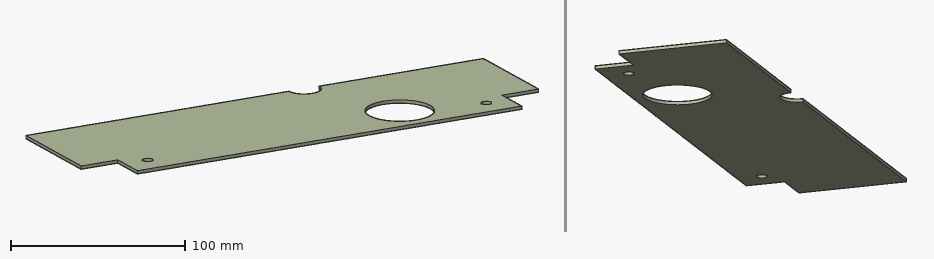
import cadquery as cq

length = 300.0
width = 89.0
thickness = 2.0

corner_notch_width = 23.5
corner_notch_length = 24.0

mount_hole_diameter = 6.3
mount_hole_x = 74.0
mount_hole_spacing = 222.0

opening_diameter = 40.0
opening_x = 62.7
opening_y = 210.5

edge_notch_radius = 10.0
edge_notch_y = 182.5


def make_plate():
    """Flat plate stepped in at both right-hand corners."""
    step_x = width - corner_notch_width
    upper_step_y = length - corner_notch_length
    return (
        cq.Workplane("XY")
        .moveTo(0, 0)
        .lineTo(step_x, 0)
        .lineTo(step_x, corner_notch_length)
        .lineTo(width, corner_notch_length)
        .lineTo(width, upper_step_y)
        .lineTo(step_x, upper_step_y)
        .lineTo(step_x, length)
        .lineTo(0, length)
        .close()
        .extrude(thickness)
    )


def round_cutter(x, y, diameter):
    """Cylinder through the full plate thickness."""
    return cq.Workplane("XY").center(x, y).circle(diameter / 2).extrude(thickness)


result = make_plate()
for side in (-1, 1):
    mount_hole_y = length / 2 + side * mount_hole_spacing / 2
    result = result.cut(round_cutter(mount_hole_x, mount_hole_y, mount_hole_diameter))
result = result.cut(round_cutter(opening_x, opening_y, opening_diameter))
result = result.cut(round_cutter(0, edge_notch_y, 2 * edge_notch_radius))